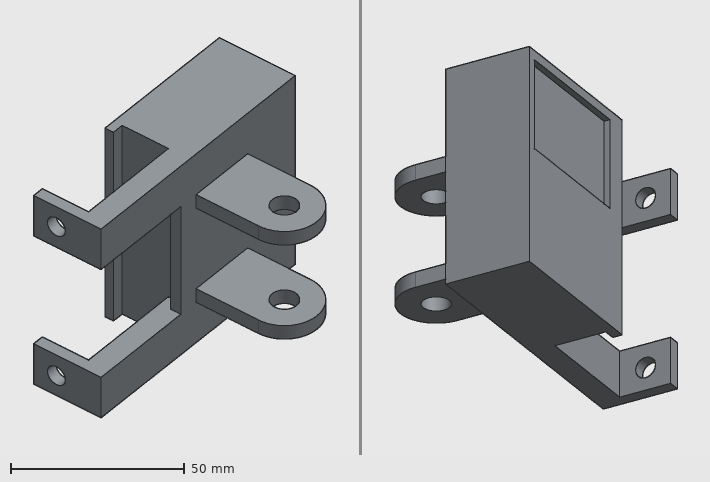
import cadquery as cq

length = 90.0
height = 70.0
body_depth = 28.0
reach = 63.0

lip_thickness = 3.15
lip_end_y = 37.0
block_face_y = 41.0

arm_height = 15.0
arm_thickness = 7.8
foot_thickness = 4.05
foot_hole_diameter = 6.6
foot_hole_x = 11.5
foot_hole_inset = 7.4

tongue_thickness = 3.9

lug_thickness = 5.0
lug_radius = 12.0
lug_hole_diameter = 8.8
lug_center_x = reach - lug_radius
lug_center_y = 56.0

recess_margin = 3.1
recess_width = 42.9
recess_height = 28.9
recess_depth = 2.0


def box(x_range, y_range, z_range):
    """Box spanning the given (low, high) ranges."""
    (x0, x1), (y0, y1), (z0, z1) = x_range, y_range, z_range
    return cq.Workplane("XY").box(x1 - x0, y1 - y0, z1 - z0, centered=False).translate((x0, y0, z0))


def make_body():
    """Block with its lip, back tongue and label recess."""
    full_z = (0, height)
    block = box((0, body_depth), (block_face_y, length), full_z)
    lip = box((0, lip_thickness), (lip_end_y, length), full_z)
    tongue = box((body_depth - tongue_thickness, body_depth), (lip_end_y, length), full_z)
    recess_y1 = length - recess_margin
    recess_z1 = height - recess_margin
    recess = box(
        (0, recess_depth),
        (recess_y1 - recess_width, recess_y1),
        (recess_z1 - recess_height, recess_z1),
    )
    return block.union(lip).union(tongue).cut(recess)


def make_arm(bottom_z, hole_z):
    """L-shaped arm whose foot is drilled along Y."""
    z_range = (bottom_z, bottom_z + arm_height)
    beam = box((body_depth - arm_thickness, body_depth), (0, block_face_y), z_range)
    foot = box((lip_thickness, body_depth), (0, foot_thickness), z_range)
    hole = (
        cq.Workplane("XZ")
        .center(foot_hole_x, hole_z)
        .circle(foot_hole_diameter / 2)
        .extrude(-foot_thickness)
    )
    return beam.union(foot).cut(hole)


def make_lug(bottom_z):
    """Round-ended lug with a pivot hole along Z."""
    return (
        cq.Workplane("XY", origin=(0, lug_center_y, bottom_z))
        .moveTo(body_depth, -lug_radius)
        .lineTo(lug_center_x, -lug_radius)
        .threePointArc((reach, 0), (lug_center_x, lug_radius))
        .lineTo(body_depth, lug_radius)
        .close()
        .moveTo(lug_center_x, 0)
        .circle(lug_hole_diameter / 2)
        .extrude(lug_thickness)
    )


upper_arm_z = height - arm_height

result = (
    make_body()
    .union(make_arm(0, foot_hole_inset))
    .union(make_arm(upper_arm_z, height - foot_hole_inset))
    .union(make_lug(arm_height))
    .union(make_lug(upper_arm_z - lug_thickness))
)